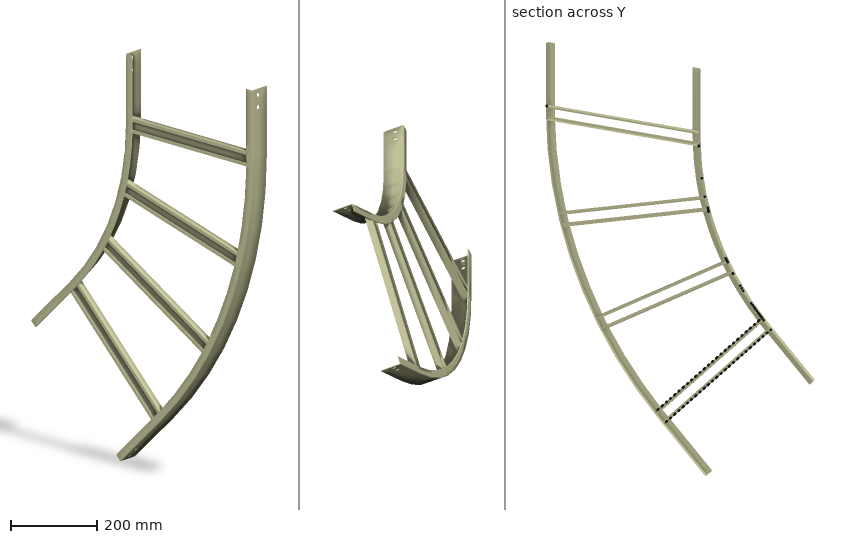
import cadquery as cq
import math


SIDE_HEIGHT = 50.0
TOTAL_HEIGHT = 1002.0
TOTAL_WIDTH = 698.0

BEND_ANGLE = 45.0
STRAIGHT = 172.0
LADDER_WIDTH = 399.0
FLANGE = 20.0
SHEET = 2.0
EDGE_RADIUS = SHEET

RUNG_COUNT = 4
RUNG_WIDTH = 36.0
RUNG_DEPTH = 16.0
RUNG_LIP = 8.0

HOLE_DIAMETER = 10.0
HOLE_FROM_FRONT = 21.0
HOLES_FROM_END = (15.0, 45.0)

bend = math.radians(BEND_ANGLE)
OUTER_RADIUS = (TOTAL_HEIGHT - STRAIGHT * (1 + math.cos(bend))) / math.sin(bend)
INNER_RADIUS = OUTER_RADIUS - LADDER_WIDTH

FRONT = -SIDE_HEIGHT / 2
CENTRE_X = TOTAL_WIDTH / 2 - OUTER_RADIUS
CENTRE_Z = TOTAL_HEIGHT / 2 - STRAIGHT


def bend_point(radius, angle, along=0.0):
    """XZ point on the bend, angle degrees below +X, moved along the tangent away from the top end."""
    turn = math.radians(angle)
    x = CENTRE_X + radius * math.cos(turn) - along * math.sin(turn)
    z = CENTRE_Z - radius * math.sin(turn) - along * math.cos(turn)
    return x, z


def rail_path(radius):
    """Straight, arc and straight run of a rail, from its top end to its lower end."""
    return (
        cq.Workplane("XZ")
        .moveTo(*bend_point(radius, 0, -STRAIGHT))
        .lineTo(*bend_point(radius, 0))
        .threePointArc(bend_point(radius, BEND_ANGLE / 2), bend_point(radius, BEND_ANGLE))
        .lineTo(*bend_point(radius, BEND_ANGLE, STRAIGHT))
    )


def rail(web_radius, inward):
    """Angle-section rail; inward is the radial direction (+1 or -1) in which its flange points."""
    web_x, _ = bend_point(web_radius, 0)

    def section_point(across, behind_front):
        return web_x + inward * across, FRONT + behind_front

    arc_inset = EDGE_RADIUS * (1 - math.sqrt(0.5))
    section = (
        cq.Workplane("XY", origin=(0, 0, TOTAL_HEIGHT / 2))
        .moveTo(*section_point(0, SIDE_HEIGHT))
        .lineTo(*section_point(0, EDGE_RADIUS))
        .threePointArc(section_point(arc_inset, arc_inset), section_point(EDGE_RADIUS, 0))
        .lineTo(*section_point(FLANGE - EDGE_RADIUS, 0))
        .threePointArc(section_point(FLANGE - arc_inset, arc_inset), section_point(FLANGE, SHEET))
        .lineTo(*section_point(SHEET, SHEET))
        .lineTo(*section_point(SHEET, SIDE_HEIGHT))
        .close()
    )
    return section.sweep(rail_path(web_radius))


def space_between_webs():
    """Curved slab that fills the bend between the inner faces of the two webs."""
    inner = INNER_RADIUS + SHEET
    outer = OUTER_RADIUS - SHEET
    return (
        rail_path(outer)
        .lineTo(*bend_point(inner, BEND_ANGLE, STRAIGHT))
        .lineTo(*bend_point(inner, BEND_ANGLE))
        .threePointArc(bend_point(inner, BEND_ANGLE / 2), bend_point(inner, 0))
        .lineTo(*bend_point(inner, 0, -STRAIGHT))
        .close()
        .extrude(SIDE_HEIGHT / 2, both=True)
    )


def rung_bar(depth, width, front):
    """Rectangular bar along +X, as long as the ladder is wide, starting at Y = front."""
    bar = cq.Workplane("XY").box(LADDER_WIDTH, depth, width, centered=(False, False, True))
    return bar.translate((0, front, 0))


def rung(angle):
    """Lipped channel, open to the front, set radially across the bend behind the flanges."""
    rung_front = FRONT + SHEET
    channel = (
        rung_bar(RUNG_DEPTH, RUNG_WIDTH, rung_front)
        .cut(rung_bar(RUNG_DEPTH - 2 * SHEET, RUNG_WIDTH - 2 * SHEET, rung_front + SHEET))
        .cut(rung_bar(SHEET, RUNG_WIDTH - 2 * RUNG_LIP, rung_front))
    )
    placed = (
        channel.translate((INNER_RADIUS, 0, 0))
        .rotate((0, 0, 0), (0, 1, 0), angle)
        .translate((CENTRE_X, 0, CENTRE_Z))
    )
    return placed.intersect(space_between_webs())


def hole_drill(angle, along):
    """Radial cylinder that passes through both webs."""
    turn = math.radians(angle)
    x, z = bend_point(INNER_RADIUS - SHEET, angle, along)
    return cq.Solid.makeCylinder(
        HOLE_DIAMETER / 2,
        LADDER_WIDTH + 2 * SHEET,
        cq.Vector(x, FRONT + HOLE_FROM_FRONT, z),
        cq.Vector(math.cos(turn), 0, -math.sin(turn)),
    )


result = rail(INNER_RADIUS, 1).union(rail(OUTER_RADIUS, -1))

for index in range(RUNG_COUNT):
    result = result.union(rung(index * BEND_ANGLE / (RUNG_COUNT - 1)))

for from_end in HOLES_FROM_END:
    hole_run = STRAIGHT - from_end
    result = result.cut(hole_drill(0, -hole_run))
    result = result.cut(hole_drill(BEND_ANGLE, hole_run))